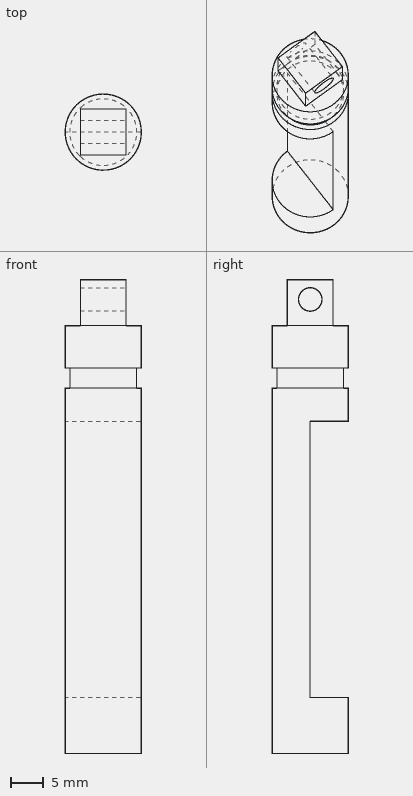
import cadquery as cq

total_height = 72.0
shaft_diameter = 11.6

square_side = 7.0
square_height = 7.0
hole_diameter = 3.5
hole_drop = 3.0

collar_height = 6.5
groove_height = 3.0
groove_diameter = 10.15

flat_bottom = 8.6
flat_top = 50.5

shaft_height = total_height - square_height
groove_top = shaft_height - collar_height
groove_bottom = groove_top - groove_height


def make_shaft():
    """Stepped round shaft: body, groove and collar."""
    body = cq.Workplane("XY").circle(shaft_diameter / 2).extrude(shaft_height)
    groove = (
        cq.Workplane("XY", origin=(0, 0, groove_bottom))
        .circle(shaft_diameter)
        .circle(groove_diameter / 2)
        .extrude(groove_height)
    )
    return body.cut(groove)


def make_square_end():
    """Square block with a through hole along X."""
    block = (
        cq.Workplane("XY", origin=(0, 0, shaft_height))
        .rect(square_side, square_side)
        .extrude(square_height)
    )
    hole = (
        cq.Workplane("YZ", origin=(0, 0, total_height - hole_drop))
        .circle(hole_diameter / 2)
        .extrude(square_side, both=True)
    )
    return block.cut(hole)


def make_flat_cut():
    """Box on the +Y side, open outward and reaching the shaft axis."""
    return cq.Workplane("XY", origin=(0, 0, flat_bottom)).box(
        2 * shaft_diameter, shaft_diameter, flat_top - flat_bottom, centered=(True, False, False)
    )


result = make_shaft().cut(make_flat_cut()).union(make_square_end())